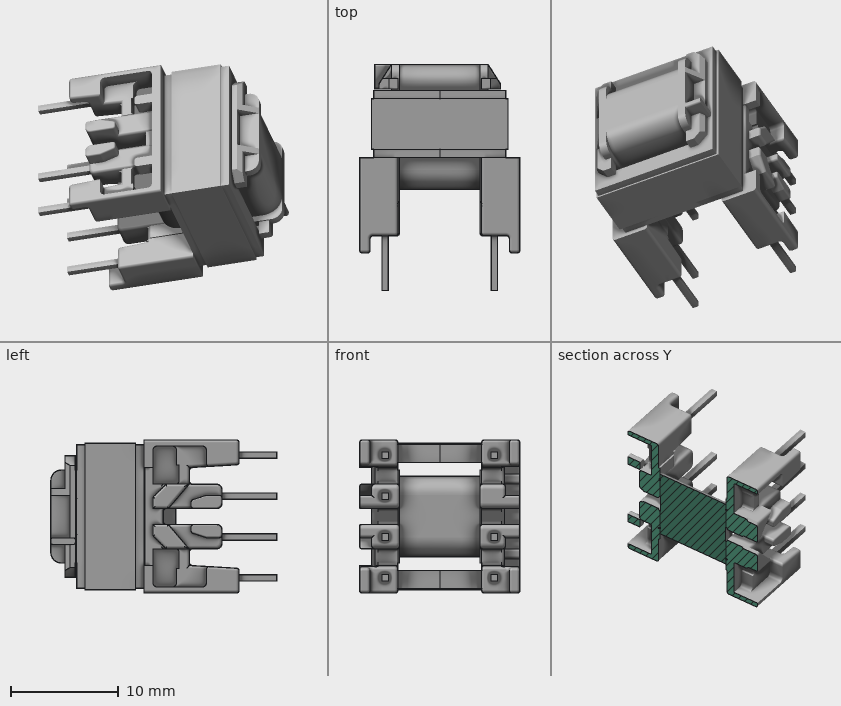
import cadquery as cq


OVERALL_Y = 21.0

CORE_X = 12.27
CORE_Y = 6.25
CORE_Z = 13.36
CORE_LEG = 1.68
CORE_BACK_X = 4.5
CENTRE_LEG_Z = 2 * CORE_LEG

TAPE_X = 12.71
TAPE_Z = 13.65
TAPE_START_Y = 0.75
TAPE_WIDTH = 4.73

WINDING_X = 7.48
WINDING_Z = 7.52
WINDING_BACK_Y = 8.65
WINDING_FRONT_Y = -2.98
WINDING_RADIUS = 1.8
WINDING_Y = WINDING_BACK_Y - WINDING_FRONT_Y
WINDING_MID_Y = (WINDING_BACK_Y + WINDING_FRONT_Y) / 2

TUBE_WALL = 0.63
TUBE_Z = CENTRE_LEG_Z + 2 * TUBE_WALL
FLANGE_IN_X = WINDING_X / 2
FLANGE_Z = 8.65
FLANGE_BACK_RADIUS = 0.99

SHOULDER_IN_X = 3.89
SHOULDER_OUT_X = 5.65
SHOULDER_Z = 11.3
SHOULDER_START_Y = 6.37
SHOULDER_STEP_Y = 6.85
SHOULDER_END_Y = 7.33
SHOULDER_CORNER = 0.92
RIB_IN_Z = 1.97
RIB_WIDTH = 0.63
TAB_OUT_X = 6.05
TAB_ROUND = 0.2

BLOCK_OUT_X = 7.45
BLOCK_IN_X = 3.89
BLOCK_Z = 14.25
BLOCK_FRONT_Y = -7.27
EDGE_RADIUS = 0.27
SPUR_WIDTH = 0.99
SPUR_END_Y = -8.87
SPUR_CORNER_RADIUS = 0.3
CORNER_ROOT_Z = 4.54
CORNER_TIP_Z = 4.81
BACK_WALL_Y = -0.85
BACK_WALL_X = 6.32
BACK_WALL_GAP = 0.08
BACK_WALL_ROUND = 0.2
WEB_OUT_X = 6.0
WEB_FRONT_Y = -4.25
WEB_CENTRE_FRONT_Y = -1.8

POCKET_TOP_Z = 6.55
POCKET_FRONT_Y = -5.82
POCKET_RADIUS = 0.42
DEEP_POCKET_FRONT_Y = -3.05
DEEP_POCKET_LOW_FRONT_Y = -3.25
DEEP_POCKET_X = 4.77

TERMINAL_LOW_Z = 0.74
TERMINAL_HIGH_Z = 3.0
TERMINAL_TIP_RADIUS = 0.5
GUIDE_CHAMFER = 1.22
GUIDE_DIAGONAL_LOW_Y = -2.27
GUIDE_DIAGONAL_HIGH_Y = -4.2
GUIDE_ROUND = 0.25
HOOK_IN_X = 5.59
HOOK_TOP_Z = 1.97
HOOK_BEND_Y = -5.82
HOOK_NECK_Y = -4.4
HOOK_NECK_Z = 1.51
HOOK_ROUND = 0.15
RIGHT_NOTCH_X = 6.11
RIGHT_RIB_HIGH_Z = 3.95
RIGHT_RIB_FRONT_Y = -2.52

PIN_SIZE = 0.6
PIN_X = 5.08
PIN_PITCH = 3.8
PIN_TIP_Y = WINDING_BACK_Y - OVERALL_Y

LEFT, RIGHT = -1, 1
SELECT_MARGIN = 0.02


def box(x_range, y_range, z_range):
    """Box between two coordinates on each axis, given in either order."""
    (x0, x1), (y0, y1), (z0, z1) = sorted(x_range), sorted(y_range), sorted(z_range)
    return cq.Workplane("XY").box(x1 - x0, y1 - y0, z1 - z0, centered=False).translate((x0, y0, z0))


def edges_within(x_range, y_range, z_range):
    """Selector for the edges whose centres lie within the ranges, ends included."""
    low, high = zip(*(
        (min(ends) - SELECT_MARGIN, max(ends) + SELECT_MARGIN) for ends in (x_range, y_range, z_range)
    ))
    return cq.selectors.BoxSelector(low, high)


def prism_along_x(points, x_start, x_end):
    """Outline of (y, z) points extruded from x_start to x_end."""
    return cq.Workplane("YZ", origin=(x_start, 0, 0)).polyline(points).close().extrude(x_end - x_start)


def with_mirror_z(shape):
    """The shape together with its copy on the other side of Z = 0."""
    return shape.union(shape.mirror("XY"))


def mirrored_to(side, shape):
    """A shape built at +X, moved to the given side."""
    return shape if side == RIGHT else shape.mirror("YZ")


def inside_corner_fillet(y, z, side, x_range):
    """Concave fillet along X that fills the corner at (y, z) towards -Y and the given side in Z."""
    x_start, x_end = x_range
    corner_y = y - EDGE_RADIUS
    corner_z = z + side * EDGE_RADIUS
    rounding = (
        cq.Workplane("YZ", origin=(x_start, 0, 0))
        .center(corner_y, corner_z)
        .circle(EDGE_RADIUS)
        .extrude(x_end - x_start)
    )
    return box(x_range, (y, corner_y), (z, corner_z)).cut(rounding)


def make_core_half(side):
    yoke = box((CORE_BACK_X, CORE_X / 2), (0, CORE_Y), (-CORE_Z / 2, CORE_Z / 2))
    outer_leg = box((0, CORE_BACK_X), (0, CORE_Y), (CORE_Z / 2 - CORE_LEG, CORE_Z / 2))
    centre_leg = box((0, CORE_BACK_X), (0, CORE_Y), (-CENTRE_LEG_Z / 2, CENTRE_LEG_Z / 2))
    return mirrored_to(side, yoke.union(with_mirror_z(outer_leg)).union(centre_leg))


def make_tape():
    tape_y = (TAPE_START_Y, TAPE_START_Y + TAPE_WIDTH)
    outside = box((-TAPE_X / 2, TAPE_X / 2), tape_y, (-TAPE_Z / 2, TAPE_Z / 2))
    return outside.cut(box((-CORE_X / 2, CORE_X / 2), tape_y, (-CORE_Z / 2, CORE_Z / 2)))


def make_winding():
    return (
        cq.Workplane("YZ", origin=(-WINDING_X / 2, 0, 0))
        .center(WINDING_MID_Y, 0)
        .rect(WINDING_Y, WINDING_Z)
        .extrude(WINDING_X)
        .edges("|X")
        .fillet(WINDING_RADIUS)
        .cut(tube_outside())
    )


def tube_outside():
    tube_y = (-TUBE_WALL, CORE_Y + TUBE_WALL)
    return box((-FLANGE_IN_X, FLANGE_IN_X), tube_y, (-TUBE_Z / 2, TUBE_Z / 2))


def centre_leg_hole():
    return box((-CORE_BACK_X, CORE_BACK_X), (0, CORE_Y), (-CENTRE_LEG_Z / 2, CENTRE_LEG_Z / 2))


def flange():
    """Flange plate; its front edge stands back between the two middle terminals."""
    half_z = FLANGE_Z / 2
    plate = box((FLANGE_IN_X, CORE_BACK_X), (WEB_FRONT_Y, WINDING_BACK_Y), (-half_z, half_z))
    plate = plate.edges("|X and >Y").fillet(FLANGE_BACK_RADIUS)
    plate = plate.cut(web_centre_gap())
    front_edges = edges_within(
        (FLANGE_IN_X, FLANGE_IN_X), (WEB_FRONT_Y, WEB_CENTRE_FRONT_Y), (-half_z, half_z)
    )
    return plate.edges("|Z").edges(front_edges).fillet(EDGE_RADIUS)


def web_centre_gap():
    gap_z = (-TERMINAL_HIGH_Z, TERMINAL_HIGH_Z)
    return box((0, BLOCK_OUT_X), (WEB_FRONT_Y, WEB_CENTRE_FRONT_Y), gap_z)


def shoulder():
    """Shoulder behind the yoke, sloping at the ends and lowered between the ribs."""
    low_points = [
        (SHOULDER_IN_X, SHOULDER_START_Y),
        (SHOULDER_OUT_X, SHOULDER_START_Y),
        (SHOULDER_OUT_X, SHOULDER_STEP_Y),
    ]
    rib_profile = low_points + [(CORE_BACK_X, WINDING_BACK_Y), (SHOULDER_IN_X, WINDING_BACK_Y)]
    wedge = cq.Workplane("XY").polyline(rib_profile).close().extrude(SHOULDER_Z / 2, both=True)
    body_y = (SHOULDER_START_Y, SHOULDER_END_Y)
    body = box((SHOULDER_IN_X, SHOULDER_OUT_X), body_y, (-SHOULDER_Z / 2, SHOULDER_Z / 2))
    body = body.edges("|Y and >X").chamfer(SHOULDER_CORNER).intersect(wedge)
    between_ribs = box(
        (CORE_BACK_X, SHOULDER_OUT_X), (SHOULDER_STEP_Y, SHOULDER_END_Y), (-RIB_IN_Z, RIB_IN_Z)
    )
    rib_z = (RIB_IN_Z, RIB_IN_Z + RIB_WIDTH)
    rib_y = (SHOULDER_START_Y, WINDING_BACK_Y)
    rib = wedge.intersect(box((CORE_BACK_X, SHOULDER_OUT_X), rib_y, rib_z))
    return body.cut(between_ribs).union(with_mirror_z(rib))


def rib_tab():
    """Tab that fills the lower left rib out to a full rectangle."""
    tab_y = (SHOULDER_START_Y, WINDING_BACK_Y)
    tab = box((-TAB_OUT_X, -CORE_BACK_X), tab_y, (-RIB_IN_Z - RIB_WIDTH, -RIB_IN_Z))
    return tab.edges("|X").fillet(TAB_ROUND)


def corner_block():
    """Corner block at +X, +Z, with a spur at its outer side."""
    spur_in_x = BLOCK_OUT_X - SPUR_WIDTH
    block = (
        cq.Workplane("XY", origin=(0, 0, CORNER_ROOT_Z))
        .moveTo(BLOCK_IN_X, 0)
        .lineTo(BLOCK_IN_X, BLOCK_FRONT_Y)
        .lineTo(spur_in_x, BLOCK_FRONT_Y)
        .lineTo(spur_in_x, SPUR_END_Y)
        .lineTo(BLOCK_OUT_X, SPUR_END_Y)
        .lineTo(BLOCK_OUT_X, 0)
        .close()
        .extrude(BLOCK_Z / 2 - CORNER_ROOT_Z)
    )
    draft = [(WEB_FRONT_Y, CORNER_ROOT_Z), (SPUR_END_Y, CORNER_ROOT_Z), (SPUR_END_Y, CORNER_TIP_Z)]
    block = block.cut(prism_along_x(draft, BLOCK_IN_X, BLOCK_OUT_X))
    block_z = (CORNER_ROOT_Z, BLOCK_Z / 2)
    spur_corner = edges_within((spur_in_x, spur_in_x), (BLOCK_FRONT_Y, BLOCK_FRONT_Y), block_z)
    block = block.edges("|Z").edges(spur_corner).fillet(SPUR_CORNER_RADIUS)
    spur_tip = edges_within((spur_in_x, BLOCK_OUT_X), (SPUR_END_Y, SPUR_END_Y), block_z)
    inner_front = edges_within((BLOCK_IN_X, BLOCK_IN_X), (BLOCK_FRONT_Y, BLOCK_FRONT_Y), block_z)
    block = block.edges("|Z").edges(spur_tip + inner_front).fillet(EDGE_RADIUS)
    block = block.faces(">Z").edges("not >Y").fillet(EDGE_RADIUS)
    block = block.cut(shallow_pocket())
    below_web_front = edges_within(
        (BLOCK_IN_X, BLOCK_OUT_X), (SPUR_END_Y, WEB_FRONT_Y - EDGE_RADIUS), (CORNER_ROOT_Z, CORNER_TIP_Z)
    )
    return block.edges(below_web_front).fillet(EDGE_RADIUS)


def pocket_part(x_floor, y_front, z_low):
    hole = box((x_floor, BLOCK_OUT_X), (y_front, BACK_WALL_Y), (z_low, POCKET_TOP_Z))
    return hole.edges("|X and >Z").fillet(POCKET_RADIUS)


def shallow_pocket():
    """Pocket in the outer side of the +X, +Z corner block, down to the outer face of the web."""
    return pocket_part(WEB_OUT_X, POCKET_FRONT_Y, CORNER_ROOT_Z - EDGE_RADIUS)


def deep_pocket():
    """Deeper part of the pocket, beside the back wall and reaching to the middle terminal."""
    deep = pocket_part(DEEP_POCKET_X, DEEP_POCKET_FRONT_Y, TERMINAL_HIGH_Z)
    deep_low = box(
        (DEEP_POCKET_X, BLOCK_OUT_X),
        (DEEP_POCKET_LOW_FRONT_Y, BACK_WALL_Y),
        (TERMINAL_HIGH_Z, CORNER_TIP_Z),
    )
    return deep.union(deep_low.edges("|X and <Y and <Z").fillet(EDGE_RADIUS))


def web():
    """Wall that joins the two corner blocks."""
    half_z = CORNER_ROOT_Z + EDGE_RADIUS
    wall = box((BLOCK_IN_X, WEB_OUT_X), (WEB_FRONT_Y, 0), (-half_z, half_z))
    wall = wall.edges("|Z and >X and <Y").fillet(EDGE_RADIUS)
    return wall.cut(web_centre_gap())


def web_corner_fillets():
    """Fillets between the front of the web and the corner block and middle terminal beside it."""
    x_range = (BLOCK_IN_X, WEB_OUT_X - EDGE_RADIUS)
    corners = [
        (WEB_FRONT_Y, CORNER_ROOT_Z, -1),
        (WEB_FRONT_Y, TERMINAL_HIGH_Z, 1),
        (WEB_CENTRE_FRONT_Y, TERMINAL_LOW_Z, -1),
    ]
    fillets = [inside_corner_fillet(y, z, side, x_range) for y, z, side in corners]
    return with_mirror_z(fillets[0].union(fillets[1]).union(fillets[2]))


def terminal_base(outer_x):
    """Body of the upper middle terminal, from the flange out to outer_x."""
    base = box(
        (FLANGE_IN_X, outer_x), (BLOCK_FRONT_Y, BACK_WALL_Y), (TERMINAL_LOW_Z, TERMINAL_HIGH_Z)
    )
    base = base.edges("|X and <Y").fillet(TERMINAL_TIP_RADIUS)
    base = base.faces(">X").edges("not >Y").fillet(EDGE_RADIUS)
    return base.faces("<X").edges("<Y").fillet(EDGE_RADIUS)


def wire_hook():
    """Hook on the low side of the upper middle terminal, pointing towards the core."""
    hook = prism_along_x(
        [
            (BLOCK_FRONT_Y, TERMINAL_LOW_Z),
            (BLOCK_FRONT_Y, HOOK_TOP_Z),
            (HOOK_BEND_Y, HOOK_TOP_Z),
            (HOOK_NECK_Y, HOOK_NECK_Z),
            (HOOK_NECK_Y, TERMINAL_LOW_Z),
        ],
        HOOK_IN_X,
        BLOCK_OUT_X,
    )
    hook = hook.edges("|X and <Y and <Z").fillet(TERMINAL_TIP_RADIUS)
    hook = hook.edges("|X and >Y").fillet(GUIDE_ROUND)
    tip_top = edges_within((0, BLOCK_OUT_X), (BLOCK_FRONT_Y, BLOCK_FRONT_Y), (HOOK_TOP_Z, HOOK_TOP_Z))
    hook = hook.edges(tip_top).fillet(EDGE_RADIUS)
    return hook.faces(">X").edges().fillet(HOOK_ROUND)


def rear_guide():
    """Raised guide beside the back wall, ending in a diagonal that leads the wire past the hook."""
    guide = prism_along_x(
        [
            (BACK_WALL_Y, TERMINAL_LOW_Z),
            (BACK_WALL_Y, TERMINAL_HIGH_Z - GUIDE_CHAMFER),
            (BACK_WALL_Y - GUIDE_CHAMFER, TERMINAL_HIGH_Z),
            (GUIDE_DIAGONAL_HIGH_Y, TERMINAL_HIGH_Z),
            (GUIDE_DIAGONAL_LOW_Y, TERMINAL_LOW_Z),
        ],
        WEB_OUT_X,
        BLOCK_OUT_X,
    )
    return guide.faces(">X").edges().fillet(GUIDE_ROUND)


def left_terminals():
    upper = terminal_base(BACK_WALL_X).union(wire_hook()).union(rear_guide())
    return mirrored_to(LEFT, with_mirror_z(upper))


def right_terminals():
    rib = box(
        (WEB_OUT_X, BLOCK_OUT_X), (RIGHT_RIB_FRONT_Y, 0), (TERMINAL_HIGH_Z, RIGHT_RIB_HIGH_Z)
    )
    rib = rib.edges("|X and <Y").fillet(EDGE_RADIUS)
    upper = terminal_base(RIGHT_NOTCH_X).union(wire_hook()).union(rib)
    return with_mirror_z(upper)


def left_back_wall():
    wall_z = (-CORNER_ROOT_Z, CORNER_ROOT_Z)
    wall = box((WEB_OUT_X - EDGE_RADIUS, BACK_WALL_X), (BACK_WALL_Y, -BACK_WALL_GAP), wall_z)
    wall = wall.edges("|Z and >X and >Y").fillet(BACK_WALL_ROUND)
    centre_z = (-TERMINAL_HIGH_Z, TERMINAL_HIGH_Z)
    centre = box((BLOCK_IN_X, BACK_WALL_X), (WEB_CENTRE_FRONT_Y, BACK_WALL_Y), centre_z)
    centre = centre.edges("|Z and >X and <Y").fillet(EDGE_RADIUS)
    return mirrored_to(LEFT, wall.union(centre))


def right_back_wall():
    return box((BLOCK_IN_X, BLOCK_OUT_X), (BACK_WALL_Y, 0), (-CORNER_ROOT_Z, CORNER_ROOT_Z))


def pins():
    """Pins in rows of four; the second place from the top of the right row stays empty."""
    row = [PIN_PITCH * step for step in (-1.5, -0.5, 0.5, 1.5)]
    places = [(side, z) for side in (LEFT, RIGHT) for z in row if (side, z) != (RIGHT, row[2])]
    half = PIN_SIZE / 2
    return [
        box(
            (side * PIN_X - half, side * PIN_X + half),
            (PIN_TIP_Y, DEEP_POCKET_FRONT_Y),
            (z - half, z + half),
        )
        for side, z in places
    ]


def make_bobbin():
    bobbin = tube_outside()
    for side in (LEFT, RIGHT):
        block = with_mirror_z(corner_block()).union(web()).union(flange()).cut(with_mirror_z(deep_pocket()))
        bobbin = bobbin.union(mirrored_to(side, block.union(shoulder())))
    bobbin = bobbin.union(left_back_wall()).union(right_back_wall())
    bobbin = bobbin.union(left_terminals()).union(right_terminals()).union(rib_tab())
    for side in (LEFT, RIGHT):
        bobbin = bobbin.union(mirrored_to(side, web_corner_fillets()))
    for pin in pins():
        bobbin = bobbin.union(pin)
    return bobbin.cut(centre_leg_hole())


bobbin = make_bobbin()
core_halves = [make_core_half(side) for side in (LEFT, RIGHT)]
tape = make_tape()
winding = make_winding()

result = cq.Compound.makeCompound(
    [bobbin.val(), *[half.val() for half in core_halves], tape.val(), winding.val()]
)